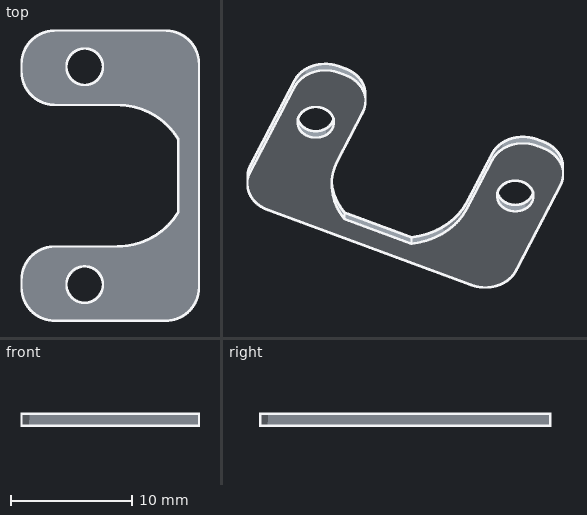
import cadquery as cq

width = 14.7
length = 24.0
thickness = 1.0
corner_radius = 2.78

recess_radius = 5.83
recess_center_from_left = 7.97
web_width = 1.73

hole_diameter = 3.0
hole_from_left = 5.23
hole_spacing = 18.0

tolerance = 0.002

left = -width / 2
right = width / 2
recess_center_x = left + recess_center_from_left
flat_x = right - web_width


def make_plate():
    """Rectangular plate with rounded outer corners."""
    plate = cq.Workplane("XY").rect(width, length).extrude(thickness)
    return plate.edges("|Z").fillet(corner_radius)


def make_recess():
    """Slot with a round end, truncated by the straight inner face of the web."""
    straight = (
        cq.Workplane("XY")
        .rect(recess_center_from_left, 2 * recess_radius)
        .extrude(thickness)
        .translate(((left + recess_center_x) / 2, 0, 0))
    )
    round_end = (
        cq.Workplane("XY")
        .center(recess_center_x, 0)
        .circle(recess_radius)
        .extrude(thickness)
    )
    kept_side = (
        cq.Workplane("XY")
        .rect(flat_x - left, length)
        .extrude(thickness)
        .translate(((left + flat_x) / 2, 0, 0))
    )
    return straight.union(round_end).intersect(kept_side)


def make_holes():
    """Through holes placed symmetrically about the X axis."""
    hole_x = left + hole_from_left
    centers = [(hole_x, side * hole_spacing / 2) for side in (-1, 1)]
    return cq.Workplane("XY").pushPoints(centers).circle(hole_diameter / 2).extrude(thickness)


def round_inner_tips(bracket):
    """Round the recess side of both arm tips to match their outer side."""
    tip_edges = bracket.edges("|Z").filter(
        lambda edge: abs(edge.Center().x - left) < tolerance
        and abs(abs(edge.Center().y) - recess_radius) < tolerance
    )
    return tip_edges.fillet(corner_radius)


bracket = make_plate().cut(make_recess())
bracket = round_inner_tips(bracket)
result = bracket.cut(make_holes())